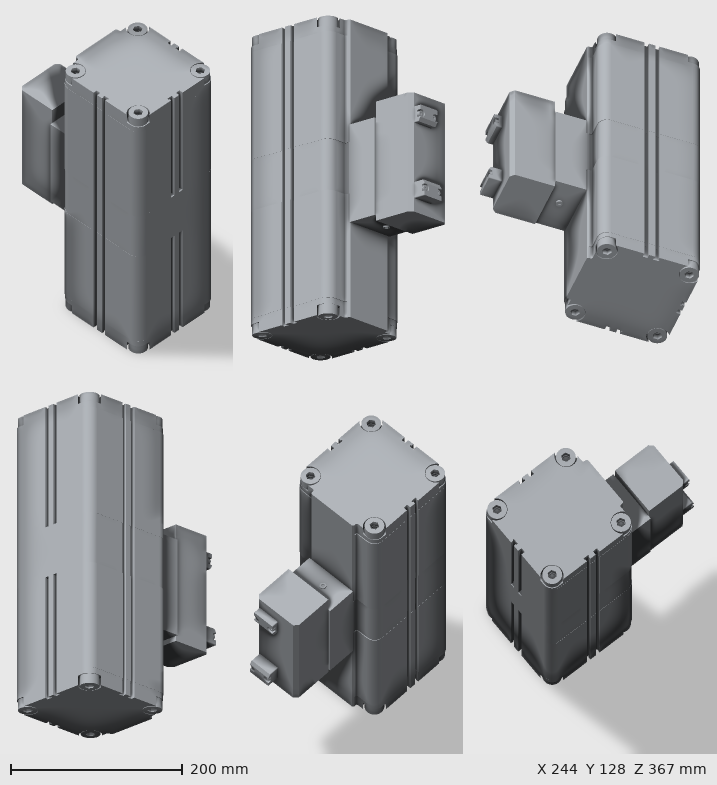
import cadquery as cq
import math

TOTAL_HEIGHT = 367.0
CAP_THICKNESS = 19.5
MIDDLE_HALF_HEIGHT = 31.5
HALF_HEIGHT = TOTAL_HEIGHT / 2
CAP_JOINT_Z = HALF_HEIGHT - CAP_THICKNESS

TUBE_WIDTH = 128.0
TUBE_HALF_WIDTH = TUBE_WIDTH / 2
INNER_HALF_WIDTH = 64.0
INNER_LEFT_FACE = -63.0
TUBE_CORNER_RADIUS = 12.5
INNER_CORNER_RADIUS = 12.0
RAIL_FACE_X = -69.5
RAIL_FACE_HALF_WIDTH = 32.5
RAIL_ROOT_HALF_WIDTH = 36.5
TUBE_RAIL_HALF_WIDTH = 35.0
INNER_RAIL_HALF_WIDTH = 34.0

GROOVE_DEPTH = 5.0
GROOVE_LIP = 3.3
PLAIN_GROOVE_CENTER = -6.5
PLAIN_GROOVE_WIDTH = 6.0
T_GROOVE_CENTER = 7.0
T_GROOVE_NECK = 5.0
T_GROOVE_WIDTH = 7.5

SCREW_OFFSET = 51.5
SCREW_RECESS_OFFSET = 52.5
SCREW_RECESS_DIAMETER = 27.0
SCREW_RECESS_DEPTH = 12.0
SCREW_HEAD_DIAMETER = 23.0
SOCKET_ACROSS_FLATS = 10.0
SOCKET_DEPTH = 7.5
SOCKET_BORE_DIAMETER = 7.7
SOCKET_BORE_DEPTH = 9.0

BASE_BACK_X = -70.5
BOX_BACK_X = -109.0
BOX_FRONT_X = -163.5
BASE_HALF_WIDTH = 35.0
BASE_TOP_Z = 53.2
BASE_BOTTOM_Z = -67.0
BOX_HALF_WIDTH = 32.0
BOX_HALF_HEIGHT = 73.5
BOX_CHAMFER = 4.8
BASE_SCREW_DIAMETER = 8.0
BASE_SCREW_SOCKET = 4.0
BASE_SCREW_SOCKET_DEPTH = 1.0
BASE_SCREW_Y = -4.5
TOP_SCREW_X = -89.0
TOP_SCREW_HEIGHT = 1.5
BOTTOM_SCREW_X = -93.0
BOTTOM_SCREW_HEIGHT = 2.2

PLUG_CENTER_Y = 11.7
PLUG_WIDTH = 29.7
PLUG_HEIGHT = 20.2
PLUG_CENTER_Z = 46.5
UPPER_PLUG_FRONT_X = -173.2
OVERALL_LENGTH_X = 244.0
LOWER_PLUG_FRONT_X = TUBE_HALF_WIDTH - OVERALL_LENGTH_X
PLUG_CHAMFER_X = 3.0
PLUG_CHAMFER_Z = 4.8
PLUG_EDGE_RADIUS = 1.0
PLUG_SCREW_INSET = 3.5
PLUG_RECESS_WIDTH = 8.5
UPPER_PLUG_RECESS_DEPTH = 5.5
LOWER_PLUG_RECESS_DEPTH = 4.0
PLUG_SCREW_DIAMETER = 7.0
PLUG_SCREW_SINK = 2.0
PLUG_SOCKET_DIAMETER = 2.45
PLUG_SOCKET_DEPTH = 1.0


def block(x_range, y_range, z_range):
    """Box between two limits on each axis."""
    (x0, x1), (y0, y1), (z0, z1) = x_range, y_range, z_range
    return cq.Workplane("XY").box(x1 - x0, y1 - y0, z1 - z0, centered=False).translate((x0, y0, z0))


def groove_pair(bottom, top, half_width):
    """Plain groove and T groove cut into the -Y side over the given Z range."""
    outside = -half_width - GROOVE_DEPTH
    floor = -half_width + GROOVE_DEPTH
    lip = -half_width + GROOVE_LIP

    def channel(center, width, y0):
        return block((center - width / 2, center + width / 2), (y0, floor), (bottom, top))

    return (
        channel(PLAIN_GROOVE_CENTER, PLAIN_GROOVE_WIDTH, outside)
        .union(channel(T_GROOVE_CENTER, T_GROOVE_NECK, outside))
        .union(channel(T_GROOVE_CENTER, T_GROOVE_WIDTH, lip))
    )


def rail(bottom, top, left_face, half_width):
    """Rail along the -X side with chamfered outer edges and filleted roots."""
    root = RAIL_ROOT_HALF_WIDTH
    root_radius = root - half_width
    root_x = left_face - root_radius
    arc_reach = root_radius * (1 - math.sqrt(0.5))
    arc_x = left_face - arc_reach
    arc_y = half_width + arc_reach
    chamfer_x = RAIL_FACE_X + half_width - RAIL_FACE_HALF_WIDTH
    return (
        cq.Workplane("XY", origin=(0, 0, bottom))
        .moveTo(0, -root)
        .lineTo(left_face, -root)
        .threePointArc((arc_x, -arc_y), (root_x, -half_width))
        .lineTo(chamfer_x, -half_width)
        .lineTo(RAIL_FACE_X, -RAIL_FACE_HALF_WIDTH)
        .lineTo(RAIL_FACE_X, RAIL_FACE_HALF_WIDTH)
        .lineTo(chamfer_x, half_width)
        .lineTo(root_x, half_width)
        .threePointArc((arc_x, arc_y), (left_face, root))
        .lineTo(0, root)
        .close()
        .extrude(top - bottom)
    )


def column_section(bottom, top, half_width, left_face, corner_radius, rail_half_width):
    """Length of the column: rounded square with a rail on -X and grooves on the Y sides."""
    body = block((left_face, TUBE_HALF_WIDTH), (-half_width, half_width), (bottom, top))
    body = body.edges("|Z").fillet(corner_radius)
    body = body.union(rail(bottom, top, left_face, rail_half_width))
    grooves = groove_pair(bottom, top, half_width)
    return body.cut(grooves).cut(grooves.mirror("XZ"))


def plus_x_grooves(bottom, top):
    """Groove pair for the +X side, with the T groove towards -Y."""
    return groove_pair(bottom, top, TUBE_HALF_WIDTH).rotate((0, 0, 0), (0, 0, 1), 90).mirror("XZ")


def inner_section(bottom, top):
    """Column section with the slightly smaller outline of the caps and the middle body."""
    return column_section(
        bottom, top, INNER_HALF_WIDTH, INNER_LEFT_FACE, INNER_CORNER_RADIUS, INNER_RAIL_HALF_WIDTH
    )


def make_tube(bottom, top):
    """Long column section between a cap and the middle body."""
    tube = column_section(
        bottom, top, TUBE_HALF_WIDTH, -TUBE_HALF_WIDTH, TUBE_CORNER_RADIUS, TUBE_RAIL_HALF_WIDTH
    )
    return tube.cut(plus_x_grooves(bottom, top))


def make_top_cap():
    """Top cap with a recessed hexagon socket screw in each corner."""
    cap = inner_section(CAP_JOINT_Z, HALF_HEIGHT)
    cap = cap.cut(plus_x_grooves(CAP_JOINT_Z, HALF_HEIGHT))
    floor = HALF_HEIGHT - SCREW_RECESS_DEPTH
    across_corners = SOCKET_ACROSS_FLATS / math.cos(math.pi / 6)

    def at_corners(z, offset=SCREW_OFFSET):
        corners = [(sx * offset, sy * offset) for sx in (-1, 1) for sy in (-1, 1)]
        return cq.Workplane("XY", origin=(0, 0, z)).pushPoints(corners)

    recesses = (
        at_corners(floor, SCREW_RECESS_OFFSET)
        .circle(SCREW_RECESS_DIAMETER / 2)
        .extrude(SCREW_RECESS_DEPTH)
    )
    heads = at_corners(floor).circle(SCREW_HEAD_DIAMETER / 2).extrude(SCREW_RECESS_DEPTH)
    sockets = at_corners(HALF_HEIGHT).polygon(6, across_corners).extrude(-SOCKET_DEPTH)
    bores = at_corners(HALF_HEIGHT).circle(SOCKET_BORE_DIAMETER / 2).extrude(-SOCKET_BORE_DEPTH)
    return cap.cut(recesses).union(heads).cut(sockets).cut(bores)


def make_plug(front_x, recess_depth):
    """Upper plug connector with a chamfer facing down and two screws in open-sided recesses."""
    y0 = PLUG_CENTER_Y - PLUG_WIDTH / 2
    y1 = PLUG_CENTER_Y + PLUG_WIDTH / 2
    z0 = PLUG_CENTER_Z - PLUG_HEIGHT / 2
    z1 = PLUG_CENTER_Z + PLUG_HEIGHT / 2
    plug = block((front_x, BOX_FRONT_X), (y0, y1), (z0, z1)).edges("|X").fillet(PLUG_EDGE_RADIUS)
    wedge = (
        cq.Workplane("XZ", origin=(0, y1, 0))
        .moveTo(front_x, z0)
        .lineTo(front_x + PLUG_CHAMFER_X, z0)
        .lineTo(front_x, z0 + PLUG_CHAMFER_Z)
        .close()
        .extrude(PLUG_WIDTH)
    )
    plug = plug.cut(wedge)

    head_x = front_x + PLUG_SCREW_SINK
    floor_x = front_x + recess_depth
    half_recess = PLUG_RECESS_WIDTH / 2
    recess_z = (PLUG_CENTER_Z - half_recess, PLUG_CENTER_Z + half_recess)

    def cylinder(x, y, diameter, length):
        return (
            cq.Workplane("YZ", origin=(x, y, PLUG_CENTER_Z))
            .circle(diameter / 2)
            .extrude(length)
        )

    for side_y, screw_y in ((y0, y0 + PLUG_SCREW_INSET), (y1, y1 - PLUG_SCREW_INSET)):
        opening_y = (min(side_y, screw_y), max(side_y, screw_y))
        recess = cylinder(front_x, screw_y, PLUG_RECESS_WIDTH, recess_depth)
        recess = recess.union(block((front_x, floor_x), opening_y, recess_z))
        head = cylinder(head_x, screw_y, PLUG_SCREW_DIAMETER, recess_depth - PLUG_SCREW_SINK)
        socket = cylinder(head_x, screw_y, PLUG_SOCKET_DIAMETER, PLUG_SOCKET_DEPTH)
        plug = plug.cut(recess).union(head).cut(socket)
    return plug


def make_base_screw(x, z, height):
    """Screw head on an end face of the base; a negative height points down."""
    socket_depth = math.copysign(BASE_SCREW_SOCKET_DEPTH, height)
    head = cq.Workplane("XY", origin=(x, BASE_SCREW_Y, z)).circle(BASE_SCREW_DIAMETER / 2).extrude(height)
    socket = (
        cq.Workplane("XY", origin=(x, BASE_SCREW_Y, z + height))
        .circle(BASE_SCREW_SOCKET / 2)
        .extrude(-socket_depth)
    )
    return head.cut(socket)


def make_middle():
    """Middle column section carrying the base block, junction box, plugs and base screws."""
    middle_z = (-MIDDLE_HALF_HEIGHT, MIDDLE_HALF_HEIGHT)
    middle = inner_section(*middle_z)
    base_y = (-BASE_HALF_WIDTH, BASE_HALF_WIDTH)
    base = block((BOX_BACK_X, BASE_BACK_X), base_y, (BASE_BOTTOM_Z, BASE_TOP_Z))
    bridge = block((BASE_BACK_X, RAIL_FACE_X), base_y, middle_z)
    box_y = (-BOX_HALF_WIDTH, BOX_HALF_WIDTH)
    box = block((BOX_FRONT_X, BOX_BACK_X), box_y, (-BOX_HALF_HEIGHT, BOX_HALF_HEIGHT))
    box = box.edges("|Z and <X").chamfer(BOX_CHAMFER)
    parts = [
        bridge,
        base,
        box,
        make_plug(UPPER_PLUG_FRONT_X, UPPER_PLUG_RECESS_DEPTH),
        make_plug(LOWER_PLUG_FRONT_X, LOWER_PLUG_RECESS_DEPTH).mirror("XY"),
        make_base_screw(TOP_SCREW_X, BASE_TOP_Z, TOP_SCREW_HEIGHT),
        make_base_screw(BOTTOM_SCREW_X, BASE_BOTTOM_Z, -BOTTOM_SCREW_HEIGHT),
    ]
    for part in parts:
        middle = middle.union(part)
    return middle


top_cap = make_top_cap()
bottom_cap = top_cap.mirror("XY")
tubes = [make_tube(MIDDLE_HALF_HEIGHT, CAP_JOINT_Z), make_tube(-CAP_JOINT_Z, -MIDDLE_HALF_HEIGHT)]
middle_body = make_middle()

result = cq.Compound.makeCompound(
    [
        top_cap.val(),
        bottom_cap.val(),
        *[tube.val() for tube in tubes],
        middle_body.val(),
    ]
)